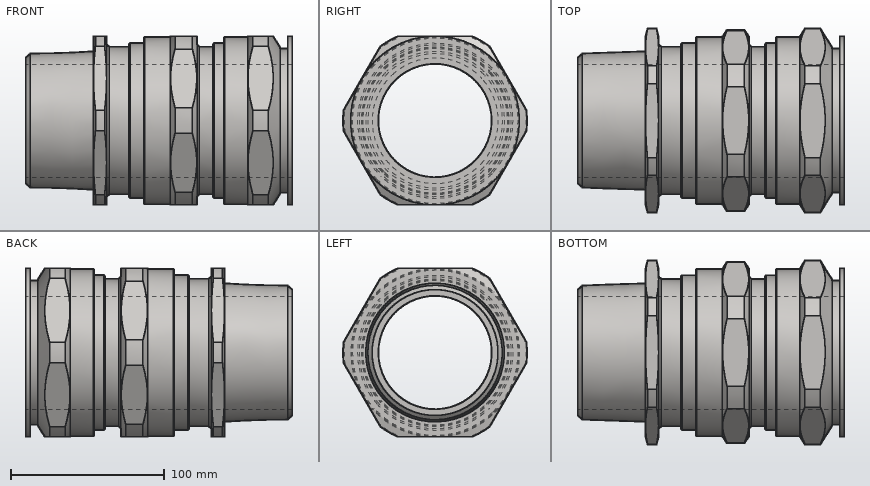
import cadquery as cq

LENGTH = 173.8
ACROSS_FLATS = 110.0
CORNER_DIAMETER = 120.0
FLATS_UP_ANGLE = 90
BORE_RADIUS = 36.8

THREAD_TIP_RADIUS = 43.8
THREAD_ROOT_RADIUS = 45.2
TIP_CHAMFER_LENGTH = 3.1
TIP_FACE_RADIUS = 41.0

NECK_RADIUS = 48.1
STEP_RADIUS = 50.5
BARREL_RADIUS = 54.5
TAIL_RADIUS = 47.1
FLANGE_RADIUS = ACROSS_FLATS / 2
STEP_CHAMFER = 1.0
BARREL_CHAMFER = 0.7
NECK_COLLAR_RADIUS = 49.5
FRONT_COLLAR_LENGTH = 1.7
REAR_COLLAR_LENGTH = 1.4

ENTRY_NUT_START = 44.1
ENTRY_NUT_END = 52.8
FRONT_STEP_START = 67.0
FRONT_BARREL_START = 76.8
MIDDLE_NUT_START = 94.2
MIDDLE_NUT_END = 111.7
REAR_STEP_START = 121.8
REAR_BARREL_START = 129.0
REAR_NUT_START = 144.5
REAR_NUT_END = 165.8
FLANGE_START = 170.6

CORNER_RADIUS = CORNER_DIAMETER / 2
MIDDLE_CORNER_RADIUS = 59.3
ENTRY_NUT_CONE = 1.4
MIDDLE_NUT_CONE = 3.1
REAR_NUT_FRONT_CONE = 3.5
REAR_NUT_BACK_CONE = 7.6
REAR_NUT_BACK_RADIUS = 47.8


def turned(profile):
    """Revolve (x, radius) points, closed along the X axis."""
    start_x = profile[0][0]
    end_x = profile[-1][0]
    outline = [(start_x, 0)] + profile + [(end_x, 0)]
    return cq.Workplane("XY").polyline(outline).close().revolve(360, (0, 0, 0), (1, 0, 0))


def hex_nut(start, end, corner_radius, front_cone, back_cone, back_radius):
    """Hexagon with flats facing +Z and -Z, its corners turned to a cylinder between two cones."""
    hexagon = (
        cq.Workplane("YZ")
        .workplane(offset=start)
        .polygon(6, ACROSS_FLATS, circumscribed=True)
        .extrude(end - start)
        .rotate((0, 0, 0), (1, 0, 0), FLATS_UP_ANGLE)
    )
    envelope = turned([
        (start, BARREL_RADIUS),
        (start + front_cone, corner_radius),
        (end - back_cone, corner_radius),
        (end, back_radius),
    ])
    return hexagon.intersect(envelope)


def entry_thread():
    """Tapered spigot with a chamfered tip."""
    return turned([
        (0, TIP_FACE_RADIUS),
        (TIP_CHAMFER_LENGTH, THREAD_TIP_RADIUS),
        (ENTRY_NUT_START, THREAD_ROOT_RADIUS),
    ])


def body_section(start, step_start, barrel_start, end, collar_length):
    """Neck with a conical collar at its front, then a chamfered step and a wider barrel."""
    return turned([
        (start, NECK_COLLAR_RADIUS),
        (start + collar_length, NECK_RADIUS),
        (step_start, NECK_RADIUS),
        (step_start, STEP_RADIUS - STEP_CHAMFER),
        (step_start + STEP_CHAMFER, STEP_RADIUS),
        (barrel_start, STEP_RADIUS),
        (barrel_start, BARREL_RADIUS - BARREL_CHAMFER),
        (barrel_start + BARREL_CHAMFER, BARREL_RADIUS),
        (end, BARREL_RADIUS),
    ])


def tail():
    """Narrow tail behind the rear nut, ending in a thin flange."""
    return turned([
        (REAR_NUT_END, TAIL_RADIUS),
        (FLANGE_START, TAIL_RADIUS),
        (FLANGE_START, FLANGE_RADIUS),
        (LENGTH, FLANGE_RADIUS),
    ])


entry_nut = hex_nut(
    ENTRY_NUT_START, ENTRY_NUT_END, CORNER_RADIUS,
    ENTRY_NUT_CONE, ENTRY_NUT_CONE, BARREL_RADIUS,
)
middle_nut = hex_nut(
    MIDDLE_NUT_START, MIDDLE_NUT_END, MIDDLE_CORNER_RADIUS,
    MIDDLE_NUT_CONE, MIDDLE_NUT_CONE, BARREL_RADIUS,
)
rear_nut = hex_nut(
    REAR_NUT_START, REAR_NUT_END, CORNER_RADIUS,
    REAR_NUT_FRONT_CONE, REAR_NUT_BACK_CONE, REAR_NUT_BACK_RADIUS,
)
front_body = body_section(
    ENTRY_NUT_END, FRONT_STEP_START, FRONT_BARREL_START, MIDDLE_NUT_START, FRONT_COLLAR_LENGTH
)
rear_body = body_section(
    MIDDLE_NUT_END, REAR_STEP_START, REAR_BARREL_START, REAR_NUT_START, REAR_COLLAR_LENGTH
)
bore = cq.Workplane("YZ").circle(BORE_RADIUS).extrude(LENGTH)

result = entry_thread()
for section in (entry_nut, front_body, middle_nut, rear_body, rear_nut, tail()):
    result = result.union(section)
result = result.cut(bore)